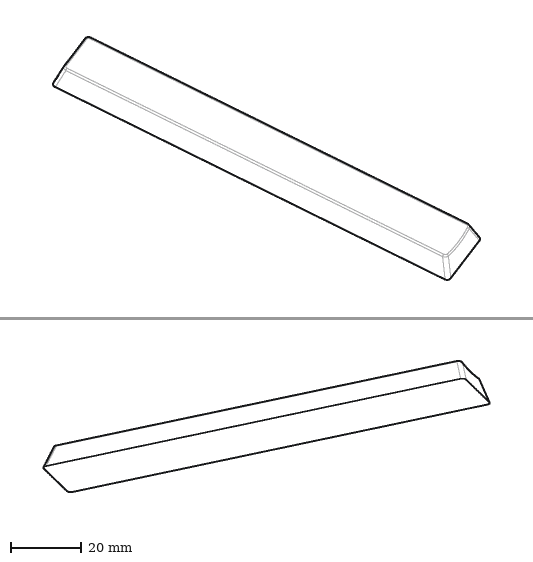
import cadquery as cq

length = 132.3
width = 18.0

wall_draft = 17.5
corner_radius = 1.25
rim_radius = 0.55

dish_radius = 25.0
dish_floor = 6.57

blank_height = 9.0


def tapered_blank():
    """Rectangular bar with drafted walls and rounded corner edges."""
    blank = cq.Workplane("XY").rect(length, width).extrude(blank_height, taper=wall_draft)
    sloping_corners = blank.edges("not #Z")
    return sloping_corners.fillet(corner_radius)


def dish_cutter():
    """Cylinder along X whose underside forms the dish."""
    return (
        cq.Workplane("YZ")
        .center(0, dish_floor + dish_radius)
        .circle(dish_radius)
        .extrude(length / 2, both=True)
    )


def round_rim(body):
    """Round every edge where the dish meets the walls and corners."""
    dish_face = body.faces(cq.selectors.NearestToPointSelector((0, 0, dish_floor)))
    return dish_face.edges().fillet(rim_radius)


result = round_rim(tapered_blank().cut(dish_cutter()))